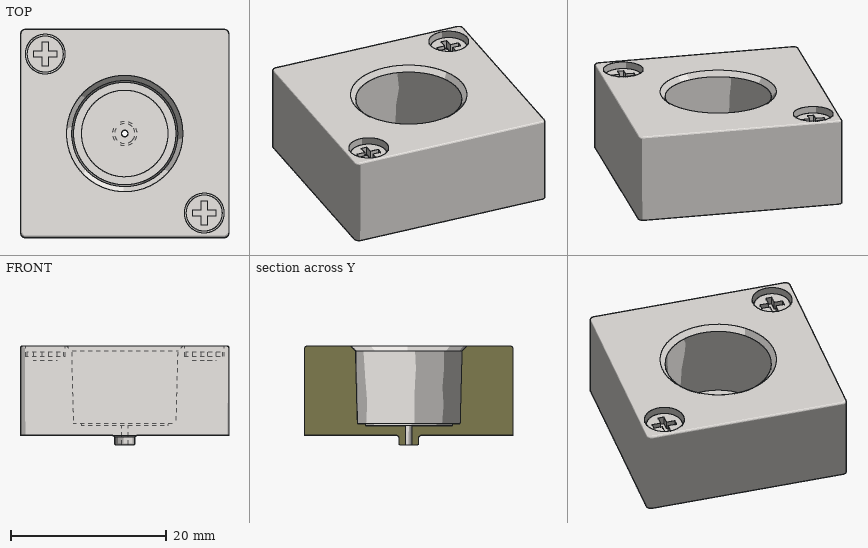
import cadquery as cq

side = 26.87
block_height = 11.53
corner_radius = 0.67
top_fillet = 0.27

bore_mouth_diameter = 15.0
bore_top_diameter = 13.68
bore_floor_diameter = 13.2
bore_depth = 10.0
floor_recess_diameter = 11.15
floor_recess_depth = 0.27
pinhole_diameter = 0.8

spigot_diameter = 2.6
spigot_length = 12.75 - block_height
spigot_fillet = 0.2
flare_width = 0.27
flare_height = 0.2

screw_offset = 10.25
counterbore_diameter = 5.13
counterbore_depth = 1.35
head_diameter = 4.65
head_top_depth = 0.8
cross_length = 3.04
cross_width = 0.78
cross_depth = 1.07


def make_block():
    block = cq.Workplane("XY").box(side, side, block_height, centered=(True, True, False))
    return block.edges("|Z").fillet(corner_radius).faces(">Z").edges().fillet(top_fillet)


def make_bore():
    """Half profile of the bore and its floor recess, revolved about Z."""
    mouth_radius = bore_mouth_diameter / 2
    top_radius = bore_top_diameter / 2
    recess_radius = floor_recess_diameter / 2
    chamfer_bottom = block_height - (mouth_radius - top_radius)
    floor = block_height - bore_depth
    recess_floor = floor - floor_recess_depth
    profile = [
        (0, block_height),
        (mouth_radius, block_height),
        (top_radius, chamfer_bottom),
        (bore_floor_diameter / 2, floor),
        (recess_radius, floor),
        (recess_radius, recess_floor),
        (0, recess_floor),
    ]
    return cq.Workplane("XZ").polyline(profile).close().revolve(360, (0, 0), (0, 1))


def make_spigot():
    """Half profile of the spigot, flared where it meets the base and rounded at its end."""
    radius = spigot_diameter / 2
    profile = [
        (0, 0),
        (radius + flare_width, 0),
        (radius, -flare_height),
        (radius, -spigot_length),
        (0, -spigot_length),
    ]
    spigot = cq.Workplane("XZ").polyline(profile).close().revolve(360, (0, 0), (0, 1))
    return spigot.faces("<Z").edges().fillet(spigot_fillet)


def add_screw(body, x, y):
    """Sink a counterbore and stand a cross-slotted screw head in it."""
    counterbore_floor = block_height - counterbore_depth
    head_top = block_height - head_top_depth
    floor_plane = cq.Workplane("XY", origin=(x, y, counterbore_floor))
    counterbore = floor_plane.circle(counterbore_diameter / 2).extrude(counterbore_depth)
    head = floor_plane.circle(head_diameter / 2).extrude(head_top - counterbore_floor)
    slot_plane = cq.Workplane("XY", origin=(x, y, head_top))
    slot = slot_plane.rect(cross_length, cross_width).extrude(-cross_depth)
    cross_slot = slot.union(slot_plane.rect(cross_width, cross_length).extrude(-cross_depth))
    return body.cut(counterbore).union(head).cut(cross_slot)


result = make_block().cut(make_bore()).union(make_spigot())
for direction in (-1, 1):
    result = add_screw(result, direction * screw_offset, -direction * screw_offset)

pinhole_start = cq.Workplane("XY", origin=(0, 0, -spigot_length))
result = result.cut(pinhole_start.circle(pinhole_diameter / 2).extrude(spigot_length + block_height))